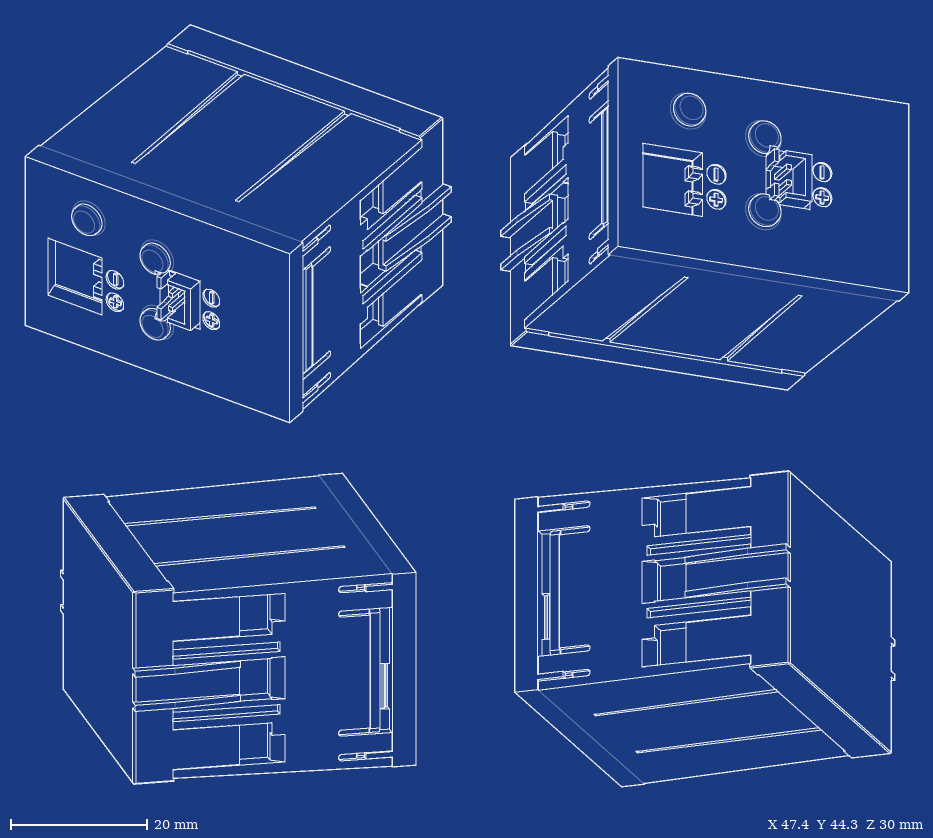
import cadquery as cq

DEPTH = 42.55
HEIGHT = 29.95
PLATE_WIDTH = 46.6
PLATE_DEPTH = 3.6
RIB_TIP_X = 23.7

BODY_FRONT_X = 23.0
BODY_REAR_X = 22.5
BODY_REAR_Z = 14.4
FLANGE_Y = 36.55
FLANGE_X = 22.33
FLANGE_EDGE = 0.2
FLANGE_REAR_EDGE = 0.45
LUG_X = 18.68
LUG_STEP = 0.2

GROOVE_INNER_X = 8.8
GROOVE_REAR_X = 10.0
GROOVE_FRONT_X = 9.45
GROOVE_FRONT_Y = 7.45
GROOVE_FLOOR_Z = 13.9

PAD_FRONT_Y = 26.45
PAD_INNER_Z = 6.85
PAD_OUTER_Z = 13.1
PAD_THICKNESS = 0.8
POCKET_X = 20.05
POCKET_UNDERCUT = 0.7
RAMP_REAR_X = 21.42
RAMP_FRONT_X = 22.75
SLOT_X = 21.25
POCKET_FRONT_Y = 21.65
RAMP_FRONT_Y = 19.7
RAMP_INNER_Z = 8.8
MIDDLE_RAMP_Z = 3.25
SLOT_FRONT_Y = 20.5
SLOT_INNER_Z = 4.12
SLOT_OUTER_Z = 5.6
RIB_INNER_Z = 2.2
RIB_OUTER_Z = 3.15
RIB_FOOT_X = 22.85
RIB_ROOT_X = 21.8

LATCH_SLOT_Y = 11.6
LATCH_SLOT_X = 22.2
LATCH_ROOT_X = 21.6
TONGUE_SLOT_Z = (8.75, 9.7)
LEG_SLOT_Z = (12.55, 13.55)
LEG_TOP_Z = 13.4
LEG_END_Y = 7.6
LEG_TOE_Y = 8.7
LEG_TOE_X = 22.55
CATCH_REAR_Y = 6.83
CATCH_FRONT_Y = 5.3
CATCH_X = 22.7
CATCH_FLAT_Z = 8.95
BAY_REAR_X = 21.05
BAY_FRONT_X = 21.42
WINDOW_Z = (-6.6, 0.47)
WINDOW_STEPS = ((CATCH_FRONT_Y, 20.85), (4.55, 20.65), (4.15, 20.5), (3.9, 20.3))

BUTTON_CENTERS = ((-12.05, 8.25), (0, 5.8), (0, -5.8))
BUTTON_RADIUS = 2.45
BUTTON_FOOT = 0.45
BUTTON_FOOT_HEIGHT = 0.3
BUTTON_ROUND = 0.6
BUTTON_ROUND_HEIGHT = 0.47
BUTTON_HEIGHT = 1.35

SOCKET_MOUTH = (-19.3, -9.75, -8.1, 2.0)
SOCKET_BORE = (-19.3, -10.5, -7.35, 1.25)
SOCKET_TAPER = 1.7
SOCKET_DEPTH = 2.1
CONTACT_X = -11.65
CONTACT_HEIGHT = 1.9
CONTACT_TAPER = 0.65
CONTACT_INSET_X = 0.4
CONTACT_INSET_Z = 0.55
CONTACT_Z = (-1.05, -5.02)

HEADER_HOLE = (0.47, 7.5, -4.25, 4.25)
HEADER_BODY = (1.05, 7.0, -3.7, 3.7)
HEADER_CAVITY = (1.8, 5.95, -2.95, 2.95)
HEADER_HEIGHT = 1.75
HEADER_HOLE_DEPTH = 2.85
HEADER_GAP_END_X = 2.9
HEADER_GAP_DEPTH = 0.47
HEADER_WINDOW_Z = 1.75
HEADER_WINDOW_TAPER = 0.3
HEADER_WINDOW_DEPTH = 1.4
PIN_CENTER_X = 3.4
PIN_CENTER_Z = 1.25
PIN_SIZE = 0.75
PIN_HEIGHT = 1.65

POLARITY_PAIRS = ((-7.5, 3.1, -1.05, -5.02), (9.5, 3.0, 2.0, -2.0))
POLARITY_DEPTH = 0.4
POLARITY_BAR = 1.9
POLARITY_BAR_WIDTH = 0.5


def block(x0, x1, y0, y1, z0, z1):
    """Box between two opposite corners."""
    return cq.Workplane("XY").box(x1 - x0, y1 - y0, z1 - z0, centered=False).translate((x0, y0, z0))


def bar(rect, y0, y1):
    """Box along Y with the section (x min, x max, z min, z max)."""
    x0, x1, z0, z1 = rect
    return block(x0, x1, y0, y1, z0, z1)


def tapered_bar(rect0, y0, rect1, y1):
    """Loft along Y between two rectangular sections."""
    wires = []
    for (x0, x1, z0, z1), y in ((rect0, y0), (rect1, y1)):
        corners = [(x0, y, z0), (x1, y, z0), (x1, y, z1), (x0, y, z1)]
        wires.append(cq.Wire.makePolygon([cq.Vector(*c) for c in corners], close=True))
    return cq.Workplane(cq.Solid.makeLoft(wires, True))


def prism_z(points, z0, z1):
    """Outline in X and Y, extruded from z0 to z1."""
    return cq.Workplane("XY", origin=(0, 0, z0)).polyline(points).close().extrude(z1 - z0)


def prism_y(points, y0, y1):
    """Outline in X and Z, extruded from y0 to y1."""
    return cq.Workplane("XZ", origin=(0, y1, 0)).polyline(points).close().extrude(y1 - y0)


def both_z(shape):
    """The shape together with its mirror image in the plane Z = 0."""
    return shape.union(shape.mirror("XY"))


def both_x(shape):
    """The shape together with its mirror image in the plane X = 0."""
    return shape.union(shape.mirror("YZ"))


def make_case():
    """Front plate, drafted body and rear flange."""
    half_height = HEIGHT / 2
    plate = block(-PLATE_WIDTH / 2, PLATE_WIDTH / 2, 0, PLATE_DEPTH, -half_height, half_height)
    body = tapered_bar(
        (-BODY_FRONT_X, BODY_FRONT_X, -half_height, half_height), PLATE_DEPTH,
        (-BODY_REAR_X, BODY_REAR_X, -BODY_REAR_Z, BODY_REAR_Z), FLANGE_Y,
    )
    flange = block(-FLANGE_X, FLANGE_X, FLANGE_Y, DEPTH, -half_height, half_height)
    flange = flange.union(both_x(
        block(LUG_X, FLANGE_X, FLANGE_Y - LUG_STEP, FLANGE_Y, -half_height, half_height)
    ))
    flange = flange.faces(">Y").edges("|Z").chamfer(FLANGE_REAR_EDGE, FLANGE_EDGE)
    flange = flange.edges("|Y").edges(">X or <X").chamfer(FLANGE_EDGE)
    flange = flange.faces(">Y").edges("|X").chamfer(FLANGE_EDGE)
    return plate.union(body).union(flange)


def make_grooves():
    """Cutters for the narrowing grooves in the upper and lower walls."""
    outline = [
        (GROOVE_INNER_X, GROOVE_FRONT_Y),
        (GROOVE_FRONT_X, GROOVE_FRONT_Y),
        (GROOVE_REAR_X, FLANGE_Y),
        (GROOVE_INNER_X, FLANGE_Y),
    ]
    return both_z(both_x(prism_z(outline, GROOVE_FLOOR_Z, HEIGHT / 2)))


def pad_pocket(pad_z0, pad_z1, ramp_z0, ramp_z1):
    """Cutter on the -X side: shallow pad, deep pocket reaching under it, and a ramp back to the surface."""
    outside = -RIB_TIP_X
    pad = block(outside, -FLANGE_X, PAD_FRONT_Y, FLANGE_Y, pad_z0, pad_z1)
    pocket = block(outside, -POCKET_X, POCKET_FRONT_Y, PAD_FRONT_Y, pad_z0, pad_z1)
    undercut = block(
        -FLANGE_X + PAD_THICKNESS, -POCKET_X,
        PAD_FRONT_Y, PAD_FRONT_Y + POCKET_UNDERCUT, pad_z0, pad_z1,
    )
    ramp_outline = [
        (outside, POCKET_FRONT_Y),
        (-RAMP_REAR_X, POCKET_FRONT_Y),
        (-RAMP_FRONT_X, RAMP_FRONT_Y),
        (outside, RAMP_FRONT_Y),
    ]
    return pad.union(pocket).union(undercut).union(prism_z(ramp_outline, ramp_z0, ramp_z1))


def make_side_cuts():
    """Pads, pockets and plain slots of the -X side."""
    outer = both_z(pad_pocket(PAD_INNER_Z, PAD_OUTER_Z, RAMP_INNER_Z, PAD_OUTER_Z))
    middle = pad_pocket(-RIB_OUTER_Z, RIB_OUTER_Z, -MIDDLE_RAMP_Z, MIDDLE_RAMP_Z)
    slots = both_z(block(-RIB_TIP_X, -SLOT_X, SLOT_FRONT_Y, FLANGE_Y, SLOT_INNER_Z, SLOT_OUTER_Z))
    return outer.union(middle).union(slots)


def make_side_ribs():
    """Two wedge ribs beside the middle pad of the -X side."""
    outline = [
        (-RIB_ROOT_X, DEPTH),
        (-RIB_TIP_X, DEPTH),
        (-RIB_TIP_X, FLANGE_Y),
        (-RIB_FOOT_X, PAD_FRONT_Y),
        (-RIB_ROOT_X, PAD_FRONT_Y),
    ]
    return both_z(prism_z(outline, RIB_INNER_Z, RIB_OUTER_Z))


def latch_slot(z0, z1):
    """Cutter on the -X side: slot from the front plate to a rounded end."""
    radius = (z1 - z0) / 2
    middle_z = (z0 + z1) / 2
    end_y = LATCH_SLOT_Y - radius
    width = RIB_TIP_X - LATCH_SLOT_X
    straight = block(-RIB_TIP_X, -LATCH_SLOT_X, PLATE_DEPTH, end_y, z0, z1)
    round_end = cq.Workplane("YZ", origin=(-RIB_TIP_X, end_y, middle_z)).circle(radius).extrude(width)
    return straight.union(round_end)


def make_latch_cuts():
    """Slots of the latch and the bay around its catch, on the -X side."""
    slots = both_z(latch_slot(*TONGUE_SLOT_Z).union(latch_slot(*LEG_SLOT_Z)))
    bay_outline = [
        (-RIB_TIP_X, CATCH_REAR_Y),
        (-LATCH_SLOT_X, CATCH_REAR_Y),
        (-LATCH_SLOT_X, CATCH_FRONT_Y),
        (-BAY_REAR_X, CATCH_FRONT_Y),
        (-BAY_FRONT_X, PLATE_DEPTH),
        (-RIB_TIP_X, PLATE_DEPTH),
    ]
    half = TONGUE_SLOT_Z[1]
    cuts = slots.union(prism_z(bay_outline, -half, half))
    for rear_y, floor_x in WINDOW_STEPS:
        cuts = cuts.union(block(-RIB_TIP_X, -floor_x, PLATE_DEPTH, rear_y, *WINDOW_Z))
    return cuts


def make_latch():
    """Catch bar with sloped ends, and the legs of the front plate with ridged toes."""
    half = TONGUE_SLOT_Z[1]
    catch_section = [
        (-LATCH_ROOT_X, -half),
        (-LATCH_SLOT_X, -half),
        (-CATCH_X, -CATCH_FLAT_Z),
        (-CATCH_X, CATCH_FLAT_Z),
        (-LATCH_SLOT_X, half),
        (-LATCH_ROOT_X, half),
    ]
    catch = prism_y(catch_section, CATCH_FRONT_Y, CATCH_REAR_Y)
    slot_z0, slot_z1 = LEG_SLOT_Z
    leg = block(-PLATE_WIDTH / 2, -LATCH_ROOT_X, PLATE_DEPTH, LEG_END_Y, slot_z0, LEG_TOP_Z)
    toe_section = [
        (-LATCH_ROOT_X, slot_z0),
        (-LATCH_SLOT_X, slot_z0),
        (-LEG_TOE_X, (slot_z0 + slot_z1) / 2),
        (-LATCH_SLOT_X, slot_z1),
        (-LATCH_ROOT_X, slot_z1),
    ]
    toe = prism_y(toe_section, LEG_END_Y, LEG_TOE_Y)
    return catch.union(both_z(leg.union(toe)))


def make_button(x, z):
    """Round button with a concave foot and a rounded rim, standing on the plate."""
    foot_radius = BUTTON_RADIUS + BUTTON_FOOT
    face_radius = BUTTON_RADIUS - BUTTON_ROUND
    profile = (
        cq.Workplane("XY")
        .moveTo(0, 0)
        .lineTo(foot_radius, 0)
        .radiusArc((BUTTON_RADIUS, -BUTTON_FOOT_HEIGHT), -BUTTON_FOOT)
        .lineTo(BUTTON_RADIUS, BUTTON_ROUND_HEIGHT - BUTTON_HEIGHT)
        .radiusArc((face_radius, -BUTTON_HEIGHT), BUTTON_ROUND)
        .lineTo(0, -BUTTON_HEIGHT)
        .close()
    )
    return profile.revolve(360, (0, 0, 0), (0, 1, 0)).translate((x, 0, z))


def make_socket_cut():
    """Cutter for the socket: tapered mouth and straight bore."""
    mouth = tapered_bar(SOCKET_MOUTH, 0, SOCKET_BORE, SOCKET_TAPER)
    return mouth.union(bar(SOCKET_BORE, SOCKET_TAPER, SOCKET_DEPTH))


def make_contact(z):
    """Socket contact with a tapered tip level with the plate face."""
    half = CONTACT_HEIGHT / 2
    end_x = SOCKET_MOUTH[1]
    root = (CONTACT_X, end_x, z - half, z + half)
    tip = (CONTACT_X + CONTACT_INSET_X, end_x, z - half + CONTACT_INSET_Z, z + half - CONTACT_INSET_Z)
    return tapered_bar(tip, 0, root, CONTACT_TAPER).union(bar(root, CONTACT_TAPER, SOCKET_DEPTH))


def make_header():
    """Header shroud, open on its -X side, with two square pins."""
    x0, x1, z0, z1 = HEADER_BODY
    shroud = bar(HEADER_BODY, -HEADER_HEIGHT, HEADER_HOLE_DEPTH)
    shroud = shroud.cut(bar(HEADER_CAVITY, -HEADER_HEIGHT, HEADER_HOLE_DEPTH))
    shroud = shroud.cut(block(HEADER_CAVITY[0], HEADER_GAP_END_X, -HEADER_HEIGHT, HEADER_GAP_DEPTH, z0, z1))
    outer_window = (x0, HEADER_CAVITY[0], -HEADER_WINDOW_Z, HEADER_WINDOW_Z)
    inner_half = HEADER_WINDOW_Z - HEADER_WINDOW_TAPER
    inner_window = (x0, HEADER_CAVITY[0], -inner_half, inner_half)
    window = bar(outer_window, -HEADER_HEIGHT, 0)
    window = window.union(tapered_bar(outer_window, 0, inner_window, HEADER_WINDOW_DEPTH))
    half = PIN_SIZE / 2
    pin = block(
        PIN_CENTER_X - half, PIN_CENTER_X + half, -PIN_HEIGHT, HEADER_HOLE_DEPTH,
        PIN_CENTER_Z - half, PIN_CENTER_Z + half,
    )
    return shroud.cut(window).union(both_z(pin))


def polarity_recess(x, z, diameter, is_plus):
    """Cutter for a round recess that leaves a minus or plus sign standing."""
    recess = cq.Workplane("XZ", origin=(x, POLARITY_DEPTH, z)).circle(diameter / 2).extrude(POLARITY_DEPTH)
    long_half = POLARITY_BAR / 2
    short_half = POLARITY_BAR_WIDTH / 2
    upright = (x - short_half, x + short_half, z - long_half, z + long_half)
    recess = recess.cut(bar(upright, 0, POLARITY_DEPTH))
    if is_plus:
        level = (x - long_half, x + long_half, z - short_half, z + short_half)
        recess = recess.cut(bar(level, 0, POLARITY_DEPTH))
    return recess


result = make_case().cut(make_grooves())
result = result.cut(both_x(make_side_cuts().union(make_latch_cuts())))
result = result.union(both_x(make_side_ribs().union(make_latch())))

for button_x, button_z in BUTTON_CENTERS:
    result = result.union(make_button(button_x, button_z))
result = result.cut(make_socket_cut())
for contact_z in CONTACT_Z:
    result = result.union(make_contact(contact_z))
result = result.cut(bar(HEADER_HOLE, -HEADER_HEIGHT, HEADER_HOLE_DEPTH)).union(make_header())
for pair_x, recess_diameter, minus_z, plus_z in POLARITY_PAIRS:
    result = result.cut(polarity_recess(pair_x, minus_z, recess_diameter, False))
    result = result.cut(polarity_recess(pair_x, plus_z, recess_diameter, True))